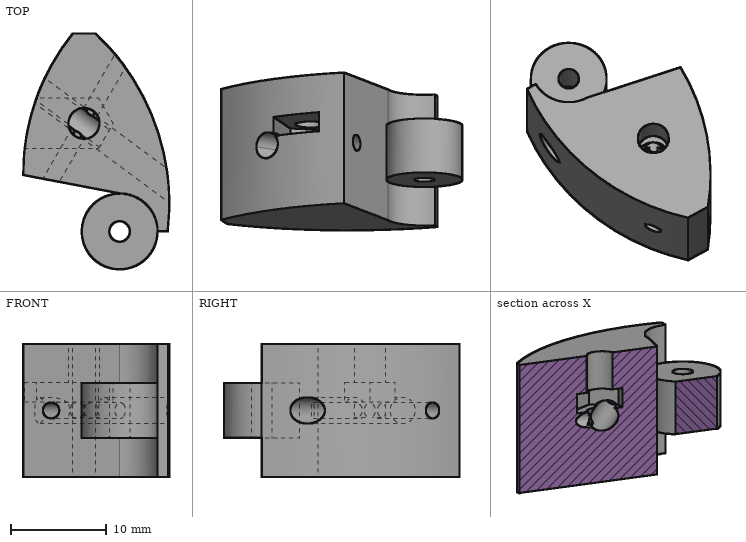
import cadquery as cq
import math


roller_radius = 4.0
roller_height = 5.77
roller_bore_diameter = 2.13

housing_height = 14.0
left_corner = (-10.14, 5.92)
left_arc_middle = (-8.92, 13.48)
nose_y = 20.8
nose_left_x = -4.93
nose_right_x = -2.53
right_arc_middle = (3.72, 11.37)
right_corner_x = 5.05

socket_center = (-3.75, 11.35)
socket_diameter = 3.25
socket_floor_z = -0.72
cross_hole_diameter = 2.75
cross_hole_angle = -36.5
front_hole_diameter = 1.65
front_hole_angle = 60
drill_length = 49.55

nut_sides = 6
nut_across_flats = 5.3
nut_pocket_height = 2.03
nut_pocket_floor_z = 0.9


def make_housing_blank():
    """Pointed block with a concave seat for the roller."""
    seat_middle = roller_radius * math.sqrt(0.5)
    return (
        cq.Workplane("XY", origin=(0, 0, -housing_height / 2))
        .moveTo(*left_corner)
        .threePointArc(left_arc_middle, (nose_left_x, nose_y))
        .lineTo(nose_right_x, nose_y)
        .threePointArc(right_arc_middle, (right_corner_x, 0))
        .lineTo(roller_radius, 0)
        .threePointArc((seat_middle, seat_middle), (0, roller_radius))
        .close()
        .extrude(housing_height)
    )


def make_horizontal_drill(diameter, angle):
    """Long cylinder through the socket axis at mid-height, angle measured from +X."""
    return (
        cq.Workplane("YZ")
        .circle(diameter / 2)
        .extrude(drill_length / 2, both=True)
        .rotate((0, 0, 0), (0, 0, 1), angle)
        .translate((*socket_center, 0))
    )


def make_socket():
    """Blind round hole from the top face."""
    return (
        cq.Workplane("XY", origin=(*socket_center, socket_floor_z))
        .circle(socket_diameter / 2)
        .extrude(housing_height / 2 - socket_floor_z)
    )


def make_nut_pocket():
    """Hexagon around the socket axis plus a slot of the same width leading to -X."""
    plane = cq.Workplane("XY", origin=(*socket_center, nut_pocket_floor_z))
    nut_across_corners = nut_across_flats / math.cos(math.pi / nut_sides)
    hexagon = plane.polygon(nut_sides, nut_across_corners).extrude(nut_pocket_height)
    slot_length = socket_center[0] - left_corner[0]
    slot = (
        plane.center(-slot_length / 2, 0)
        .rect(slot_length, nut_across_flats)
        .extrude(nut_pocket_height)
    )
    return hexagon.union(slot)


def make_housing():
    return (
        make_housing_blank()
        .cut(make_socket())
        .cut(make_nut_pocket())
        .cut(make_horizontal_drill(cross_hole_diameter, cross_hole_angle))
        .cut(make_horizontal_drill(front_hole_diameter, front_hole_angle))
    )


def make_roller():
    return (
        cq.Workplane("XY", origin=(0, 0, -roller_height / 2))
        .circle(roller_radius)
        .circle(roller_bore_diameter / 2)
        .extrude(roller_height)
    )


housing = make_housing()
roller = make_roller()
result = cq.Compound.makeCompound([housing.val(), roller.val()])